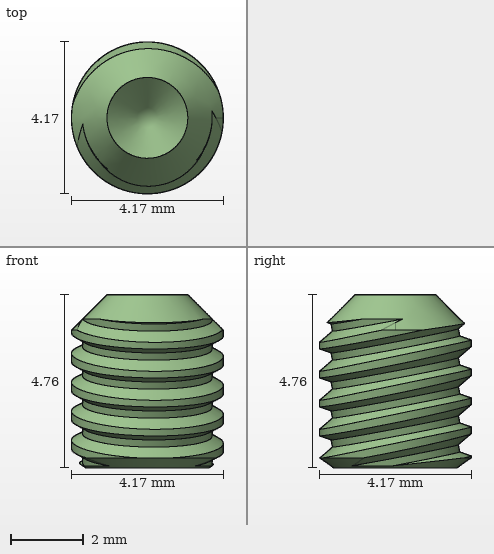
import cadquery as cq
import math

height = 4.76
crest_radius = 2.085

tip_radius = 1.11
tip_chamfer = crest_radius - tip_radius
base_radius = 1.685
base_chamfer_height = 0.285

cup_half_angle = math.radians(59)
cup_depth = tip_radius / math.tan(cup_half_angle)

pitch = 0.795
groove_count = 6
lowest_groove_z = 0.215
root_radius = 1.78
root_width = 0.2
flank_angle = math.radians(30)
lean_angle = math.degrees(math.atan(pitch / (2 * crest_radius)))
lean_heading = 5.9
cutter_radius = crest_radius + 0.38


def make_body():
    """Revolve the blank with both end cones and the cup."""
    return (
        cq.Workplane("XZ")
        .moveTo(0, 0)
        .lineTo(base_radius, 0)
        .lineTo(crest_radius, base_chamfer_height)
        .lineTo(crest_radius, height - tip_chamfer)
        .lineTo(tip_radius, height)
        .lineTo(0, height - cup_depth)
        .close()
        .revolve(360, (0, 0, 0), (0, 1, 0))
    )


def make_groove_cutter(center_z):
    """V-sided ring with a flat root, centered on the axis and leaning down near -Y."""
    half_root = root_width / 2
    half_mouth = half_root + (cutter_radius - root_radius) * math.tan(flank_angle)
    ring = (
        cq.Workplane("XZ")
        .moveTo(root_radius, -half_root)
        .lineTo(cutter_radius, -half_mouth)
        .lineTo(cutter_radius, half_mouth)
        .lineTo(root_radius, half_root)
        .close()
        .revolve(360, (0, 0, 0), (0, 1, 0))
    )
    leaning_ring = ring.rotate((0, 0, 0), (1, 0, 0), lean_angle)
    turned_ring = leaning_ring.rotate((0, 0, 0), (0, 0, 1), lean_heading)
    return turned_ring.translate((0, 0, center_z))


result = make_body()
for index in range(groove_count):
    result = result.cut(make_groove_cutter(lowest_groove_z + index * pitch))